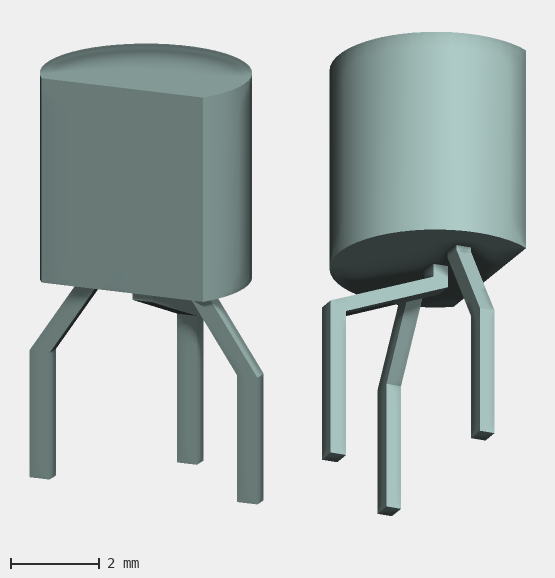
import cadquery as cq
import math

total_height = 9.8
body_height = 4.8
body_radius = 2.4
flat_distance = 1.34
body_bottom = total_height - body_height

lead_thickness = 0.36
lead_front = -0.2
lead_back = lead_front + lead_thickness

outer_lead_width = 0.5
outer_center_x = 0.02
outer_span = 5.62
outer_foot_reach = outer_span / 2
outer_root_reach = 1.53
outer_bottom = 0.03
outer_lower_bend = 3.01
outer_upper_bend = 4.88

middle_lead_width = 0.49
middle_foot_thickness = 0.38
middle_foot_back = 2.71
middle_foot_front = middle_foot_back - middle_foot_thickness
middle_back_upper_bend = 4.68
middle_back_lower_bend = 3.69
middle_front_upper_bend = 4.49
middle_front_lower_bend = 3.5


def make_body():
    half_flat = math.sqrt(body_radius**2 - flat_distance**2)
    return (
        cq.Workplane("XY", origin=(0, 0, body_bottom))
        .moveTo(-half_flat, -flat_distance)
        .lineTo(half_flat, -flat_distance)
        .threePointArc((0, body_radius), (-half_flat, -flat_distance))
        .close()
        .extrude(body_height)
    )


def make_outer_lead(side):
    """Outer lead on the -X side (side = -1) or the +X side (side = 1)."""
    outside = [
        (outer_root_reach, body_bottom),
        (outer_root_reach, outer_upper_bend),
        (outer_foot_reach, outer_lower_bend),
        (outer_foot_reach, outer_bottom),
    ]
    inside = [(reach - outer_lead_width, z) for reach, z in reversed(outside)]
    outline = [(outer_center_x + side * reach, z) for reach, z in outside + inside]
    return (
        cq.Workplane("XZ", origin=(0, lead_back, 0))
        .polyline(outline)
        .close()
        .extrude(lead_thickness)
    )


def make_middle_lead():
    outline = [
        (lead_back, body_bottom),
        (lead_back, middle_back_upper_bend),
        (middle_foot_back, middle_back_lower_bend),
        (middle_foot_back, 0),
        (middle_foot_front, 0),
        (middle_foot_front, middle_front_lower_bend),
        (lead_front, middle_front_upper_bend),
        (lead_front, body_bottom),
    ]
    return cq.Workplane("YZ").polyline(outline).close().extrude(middle_lead_width / 2, both=True)


result = make_body().union(make_middle_lead())
for side in (-1, 1):
    result = result.union(make_outer_lead(side))